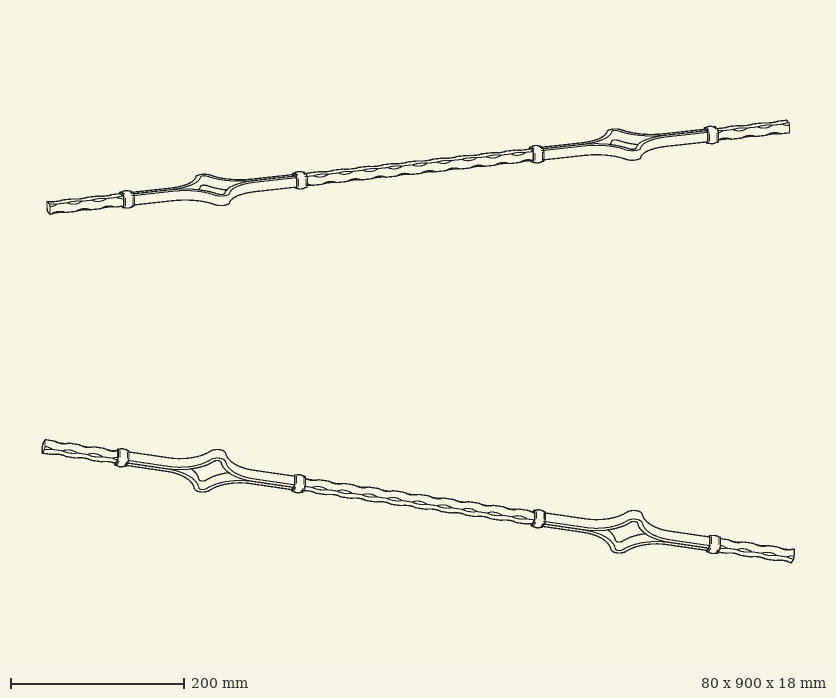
import cadquery as cq
import math

bar_length = 900.0
bar_side = 12.0
half_side = bar_side / 2
half_length = bar_length / 2

upper_collar = 356.0
inner_collar = 144.0
lower_collar = 355.0
collar_length = 13.0
collar_width = 18.0
collar_corner_radius = 4.5
collar_end_band = 2.0
collar_bulge = 0.8

slit_width = 0.5
strip_thickness = (bar_side - slit_width) / 2
basket_width = 80.0
basket_half_length = 50.0
basket_place = 250.0
tip_radius = 10.0

mark_length = 18.0
mark_depth = 2.0
marks_per_edge = 30
mark_pitch = bar_length / marks_per_edge
mark_shift = 20.0
mark_radius = (mark_length**2 / 4 + mark_depth**2) / (2 * mark_depth)


def hammer_mark(side_x, side_z, place):
    """Round cutter lying across one long edge of the bar."""
    outward = cq.Vector(side_x, 0, side_z).normalized()
    across = outward.cross(cq.Vector(0, 1, 0))
    edge = cq.Vector(side_x * half_side, place, side_z * half_side)
    axis_middle = edge + outward * (mark_radius - mark_depth)
    axis_start = axis_middle - across * bar_side
    return cq.Workplane(cq.Solid.makeCylinder(mark_radius, 2 * bar_side, axis_start, across))


def hammered_rod(high_end, low_end):
    """Square rod between two places along Y, with hammer marks on its edges."""
    rod = cq.Workplane("XY").box(bar_side, high_end - low_end, bar_side)
    rod = rod.translate((0, (high_end + low_end) / 2, 0))
    for side_x in (1, -1):
        for side_z in (1, -1):
            first_place = half_length - (0 if side_x == side_z else mark_shift)
            for number in range(marks_per_edge + 1):
                place = first_place - number * mark_pitch
                if low_end - mark_length / 2 < place < high_end + mark_length / 2:
                    rod = rod.cut(hammer_mark(side_x, side_z, place))
    return rod


def bowed_block(high_end, low_end, centre, inset):
    """Block from the middle plane out to the bowed side of a strip, moved inwards by an inset."""
    rise = basket_width / 2 - half_side
    turn = 2 * math.atan(rise / basket_half_length)
    tip = tip_radius - inset
    hollow = basket_half_length / math.sin(turn) - tip
    side_x = half_side - inset
    tip_x = basket_width / 2 - inset

    def on_hollow(angle, way):
        out = side_x + hollow * (1 - math.cos(angle))
        along = basket_half_length - hollow * math.sin(angle)
        return (out, centre + way * along)

    return (
        cq.Workplane("XY")
        .workplane(offset=-half_side)
        .moveTo(0, high_end)
        .lineTo(side_x, high_end)
        .lineTo(*on_hollow(0, 1))
        .threePointArc(on_hollow(turn / 2, 1), on_hollow(turn, 1))
        .threePointArc((tip_x, centre), on_hollow(turn, -1))
        .threePointArc(on_hollow(turn / 2, -1), on_hollow(0, -1))
        .lineTo(side_x, low_end)
        .lineTo(0, low_end)
        .close()
        .extrude(bar_side)
    )


def strip_pair(high_end, low_end, centre):
    """Two mirrored strips: straight, bowed out to the basket tips, and straight again."""
    outside = bowed_block(high_end, low_end, centre, 0)
    strip = outside.cut(bowed_block(high_end, low_end, centre, strip_thickness))
    return strip, strip.mirror("YZ")


def make_bar():
    """One solid: three hammered rods joined by two pairs of strips, meeting inside the collars."""
    bar = hammered_rod(half_length, upper_collar)
    pieces = [
        *strip_pair(upper_collar, inner_collar, basket_place),
        hammered_rod(inner_collar, -inner_collar),
        *strip_pair(-inner_collar, -lower_collar, -basket_place),
        hammered_rod(-lower_collar, -half_length),
    ]
    for piece in pieces:
        bar = bar.union(piece)
    return bar


def barrel_block():
    """Block with a bulged top and bottom between flat bands at its ends."""
    end = collar_length / 2
    arc_end = end - collar_end_band
    crest = collar_width / 2
    band = crest - collar_bulge
    return (
        cq.Workplane("YZ")
        .workplane(offset=-crest)
        .moveTo(-end, -band)
        .lineTo(-arc_end, -band)
        .threePointArc((0, -crest), (arc_end, -band))
        .lineTo(end, -band)
        .lineTo(end, band)
        .lineTo(arc_end, band)
        .threePointArc((0, crest), (-arc_end, band))
        .lineTo(-end, band)
        .close()
        .extrude(collar_width)
    )


def is_corner_edge(edge):
    """True for the edges that run along the collar's four corners."""
    middle = edge.Center()
    return min(abs(middle.x), abs(middle.z)) > half_side


def make_collar(place):
    """Square ring around the bar, with bulged sides and rounded corners."""
    block = barrel_block()
    blank = block.intersect(block.rotate((0, 0, 0), (0, 1, 0), 90))
    blank = blank.edges().filter(is_corner_edge).fillet(collar_corner_radius)
    ring = blank.cut(cq.Workplane("XY").box(bar_side, collar_length, bar_side))
    return ring.translate((0, place, 0))


bar = make_bar()

collar_places = (upper_collar, inner_collar, -inner_collar, -lower_collar)
collars = [make_collar(place) for place in collar_places]

result = cq.Compound.makeCompound([bar.val(), *[collar.val() for collar in collars]])